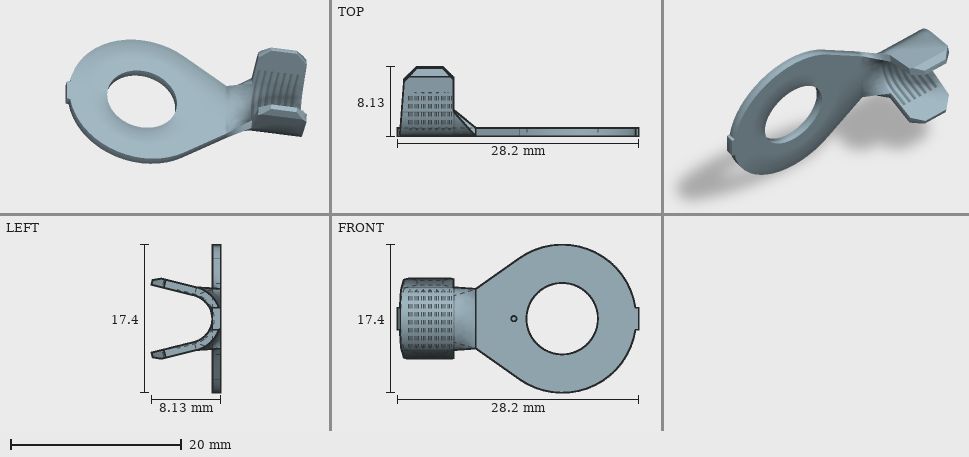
import cadquery as cq
import math


thickness = 1.0
ring_radius = 8.68
hole_radius = 4.17
tab_half_width = 1.3
ring_tab_end = 8.96

overall_length = 28.24
fold_x = -10.1
barrel_end_x = -12.7
barrel_start_x = -19.02
barrel_tab_end = ring_tab_end - overall_length
neck_half_width = 3.5

barrel_height = 8.13
outer_radius = 3.8
inner_radius = outer_radius - thickness
wing_lean = math.radians(14)
lean_sin = math.sin(wing_lean)
lean_cos = math.cos(wing_lean)
wing_length = (barrel_height - outer_radius + inner_radius * lean_sin) / lean_cos
mouth_setback = 0.62

tip_center_x = -15.5
tip_half_width = 1.53
tip_bevel_depth = 0.42
tip_bevel_length = 0.95

groove_count = 7
groove_pitch = 0.77
groove_width = 0.4
groove_depth = 0.2
groove_run_on_wing = 2.1

dimple_x = -5.65
dimple_radius = 0.32
dimple_depth = 0.03

clearance = 2.0

sheet_plane = cq.Workplane("XZ")


def arc_point(radius, angle):
    """(Y, Z) of a point on the barrel arc, its angle measured from the wing side."""
    return outer_radius - radius * math.sin(angle), radius * math.cos(angle)


def wing_point(radius, distance):
    """(Y, Z) at a distance along the straight upper wing, at the given bend radius."""
    y, z = arc_point(radius, wing_lean)
    return y + distance * lean_cos, z + distance * lean_sin


def below(point):
    """The same (Y, Z) point mirrored to the lower wing."""
    return point[0], -point[1]


def make_ring():
    corner_distance = math.hypot(fold_x, neck_half_width)
    corner_angle = math.atan2(neck_half_width, fold_x)
    tangent_angle = corner_angle - math.acos(ring_radius / corner_distance)
    tangent_x = ring_radius * math.cos(tangent_angle)
    tangent_z = ring_radius * math.sin(tangent_angle)
    plate = (
        sheet_plane.moveTo(fold_x, neck_half_width)
        .lineTo(tangent_x, tangent_z)
        .threePointArc((ring_radius, 0), (tangent_x, -tangent_z))
        .lineTo(fold_x, -neck_half_width)
        .close()
        .extrude(-thickness)
    )
    tab = (
        sheet_plane.center(ring_tab_end / 2, 0)
        .rect(ring_tab_end, 2 * tab_half_width)
        .extrude(-thickness)
    )
    hole = sheet_plane.circle(hole_radius).extrude(-thickness)
    dimple = sheet_plane.center(dimple_x, 0).circle(dimple_radius).extrude(-dimple_depth)
    return plate.union(tab).cut(hole).cut(dimple)


def make_neck():
    """Blend from the barrel arc to the flat sheet at the fold."""
    outer_end = arc_point(outer_radius, wing_lean)
    inner_end = arc_point(inner_radius, wing_lean)
    return (
        cq.Workplane("YZ", origin=(barrel_end_x, 0, 0))
        .moveTo(*below(outer_end))
        .threePointArc((0, 0), outer_end)
        .lineTo(*inner_end)
        .threePointArc((thickness, 0), below(inner_end))
        .close()
        .workplane(offset=fold_x - barrel_end_x)
        .moveTo(0, -neck_half_width)
        .lineTo(0, neck_half_width)
        .lineTo(thickness, neck_half_width)
        .lineTo(thickness, -neck_half_width)
        .close()
        .loft(ruled=True)
    )


def make_u_channel():
    outer_start = wing_point(outer_radius, 0)
    outer_tip = wing_point(outer_radius, wing_length - tip_bevel_length)
    bevel_tip = wing_point(outer_radius - tip_bevel_depth, wing_length)
    inner_tip = wing_point(inner_radius, wing_length)
    inner_start = wing_point(inner_radius, 0)
    return (
        cq.Workplane("YZ", origin=(barrel_start_x, 0, 0))
        .moveTo(*below(outer_start))
        .threePointArc((0, 0), outer_start)
        .lineTo(*outer_tip)
        .lineTo(*bevel_tip)
        .lineTo(*inner_tip)
        .lineTo(*inner_start)
        .threePointArc((thickness, 0), below(inner_start))
        .lineTo(*below(inner_tip))
        .lineTo(*below(bevel_tip))
        .lineTo(*below(outer_tip))
        .close()
        .extrude(barrel_end_x - barrel_start_x)
    )


def make_mouth_trim():
    """Wedge that slopes the open end of the barrel back towards the wing tips."""
    return (
        cq.Workplane("XY")
        .moveTo(barrel_start_x, 0)
        .lineTo(barrel_start_x + mouth_setback, barrel_height)
        .lineTo(barrel_start_x - clearance, barrel_height)
        .lineTo(barrel_start_x - clearance, 0)
        .close()
        .extrude(barrel_height, both=True)
    )


def make_corner_trim(side):
    """45 degree cut on one upper wing corner: side -1 at the mouth, +1 at the neck."""
    tip_y, tip_z = wing_point(outer_radius, wing_length)
    wing_plane = cq.Plane(
        origin=(tip_center_x, tip_y, tip_z),
        xDir=(1, 0, 0),
        normal=(0, -lean_sin, lean_cos),
    )
    reach = 2 * clearance
    return (
        cq.Workplane(wing_plane)
        .moveTo(side * tip_half_width, 0)
        .lineTo(side * (tip_half_width + reach), -reach)
        .lineTo(side * (tip_half_width + reach), 0)
        .close()
        .extrude(clearance, both=True)
    )


def make_groove(x):
    """V groove that follows the inside of the arc and part of both wings."""
    wing_end = wing_point(inner_radius, groove_run_on_wing)
    arc_end = wing_point(inner_radius, 0)
    path = (
        cq.Workplane("YZ", origin=(x, 0, 0))
        .moveTo(*wing_end)
        .lineTo(*arc_end)
        .threePointArc((thickness, 0), below(arc_end))
        .lineTo(*below(wing_end))
    )
    section_plane = cq.Plane(
        origin=(x, wing_end[0], wing_end[1]),
        xDir=(1, 0, 0),
        normal=(0, -lean_cos, -lean_sin),
    )
    return (
        cq.Workplane(section_plane)
        .moveTo(-groove_width / 2, 0)
        .lineTo(0, groove_depth)
        .lineTo(groove_width / 2, 0)
        .close()
        .sweep(path)
    )


def make_barrel():
    barrel = make_u_channel().cut(make_mouth_trim())
    for side in (-1, 1):
        upper_trim = make_corner_trim(side)
        barrel = barrel.cut(upper_trim).cut(upper_trim.mirror("XY"))
    for index in range(groove_count):
        offset = index - (groove_count - 1) / 2
        barrel = barrel.cut(make_groove(tip_center_x + offset * groove_pitch))
    return barrel


def make_barrel_tab():
    """Cut-off stub in the sheet plane at the mouth of the barrel."""
    inner_x = barrel_start_x + thickness * mouth_setback / barrel_height
    return (
        sheet_plane.center((barrel_tab_end + inner_x) / 2, 0)
        .rect(inner_x - barrel_tab_end, 2 * tab_half_width)
        .extrude(-thickness)
    )


result = make_ring().union(make_neck()).union(make_barrel()).union(make_barrel_tab())